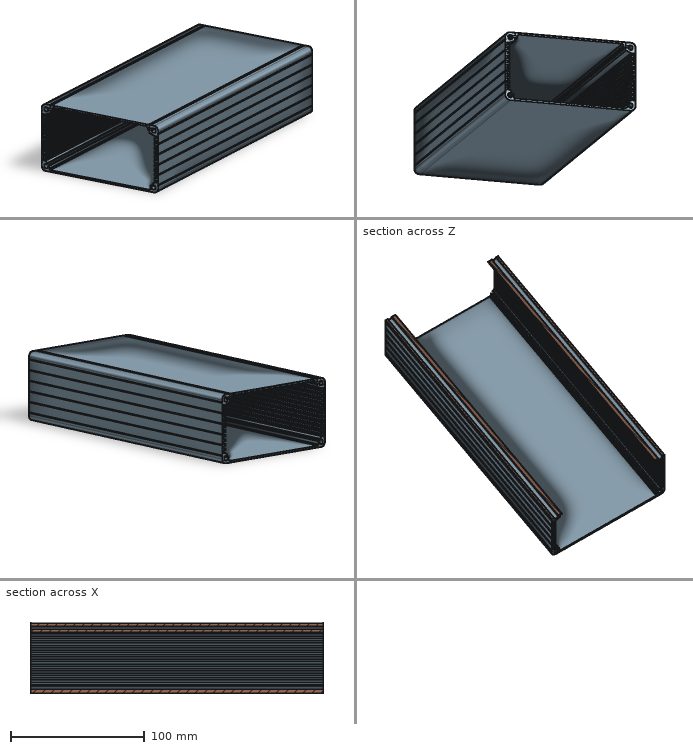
import cadquery as cq


width = 103.0
length = 220.0
height = 53.0
half_width = width / 2
mid_height = height / 2
corner_radius = 4.0

floor_thickness = 1.5
lid_thickness = 1.5
side_wall = 1.3

fin_reach = 3.5
fin_slot_width = 2.0
fin_slot_count = 11
fin_zone_height = 36.7
fin_pitch = (fin_zone_height - fin_slot_width) / (fin_slot_count - 1)
fin_zone_bottom = mid_height - fin_zone_height / 2
fin_zone_top = mid_height + fin_zone_height / 2

screw_radius = 1.8
screw_inset = corner_radius
upper_screw_z = height - screw_inset

joint_inset = 7.7
boss_bottom_depth = 6.4
tongue_top_depth = 2.6
tongue_bottom_depth = tongue_top_depth + lid_thickness
joint_lip = 1.5
lid_slope = 1.3
joint_chamfer = 0.7

lower_boss_inset = 6.8
lower_boss_chamfer = lower_boss_inset - fin_reach
lower_boss_root = 0.9
screw_opening = 2.0

groove_pitch = 8.1
groove_count = 6
groove_rise = 0.2
groove_row_middle = mid_height + groove_rise
groove_width = 0.7
groove_depth = groove_width / 2


def prism(points):
    """Extrude a closed XZ outline over the whole length."""
    return cq.Workplane("XZ").polyline(points).close().extrude(length / 2, both=True)


def block(x_min, x_max, z_min, z_max):
    """Full-length rectangular bar."""
    return prism([(x_min, z_min), (x_max, z_min), (x_max, z_max), (x_min, z_max)])


def from_left(inset):
    """X position at a distance from the left side face."""
    return inset - half_width


def both_sides(left):
    """A left-hand shape together with its mirror image."""
    return left.union(left.mirror("YZ"))


def screw_channel(z):
    """Round bar that cuts the left screw channel at a given height."""
    return (
        cq.Workplane("XZ")
        .center(from_left(screw_inset), z)
        .circle(screw_radius)
        .extrude(length / 2, both=True)
    )


def finned_wall():
    """Left side wall with a row of fins between flat slots."""
    wall = block(from_left(0), from_left(fin_reach), 0, height)
    for i in range(fin_slot_count):
        slot_bottom = fin_zone_bottom + i * fin_pitch
        slot_top = slot_bottom + fin_slot_width
        wall = wall.cut(block(from_left(side_wall), from_left(fin_reach), slot_bottom, slot_top))
    return wall


def lower_boss():
    """Chamfered bottom left corner that carries the open screw channel."""
    foot = lower_boss_inset + lower_boss_root
    return prism([
        (from_left(0), 0),
        (from_left(foot), 0),
        (from_left(foot), floor_thickness),
        (from_left(lower_boss_inset), floor_thickness + lower_boss_root),
        (from_left(lower_boss_inset), fin_zone_bottom - lower_boss_chamfer),
        (from_left(fin_reach), fin_zone_bottom),
        (from_left(0), fin_zone_bottom),
    ])


def lower_channel():
    """Screw channel with a slit that opens it diagonally into the enclosure."""
    reach = lower_boss_inset
    slit = (
        cq.Workplane("XY")
        .box(reach, length, screw_opening, centered=(False, True, True))
        .rotate((0, 0, 0), (0, 1, 0), -45)
        .translate((from_left(screw_inset), 0, screw_inset))
    )
    return screw_channel(screw_inset).union(slit)


def upper_boss():
    """Top left corner that carries the closed screw channel and the lid joint."""
    return prism([
        (from_left(0), height),
        (from_left(joint_inset - joint_chamfer), height),
        (from_left(joint_inset), height - joint_chamfer),
        (from_left(joint_inset), height - boss_bottom_depth),
        (from_left(fin_reach), fin_zone_top),
        (from_left(0), fin_zone_top),
    ])


def lid_tongue():
    """Left tongue of the lid, which runs under the tray's corner as far as the screw channel."""
    return block(
        from_left(screw_inset),
        from_left(joint_inset + joint_lip),
        height - tongue_bottom_depth,
        height - tongue_top_depth,
    )


def side_grooves():
    """V cuts along the left outer face, evenly spaced and set slightly above mid-height."""
    first_z = groove_row_middle - (groove_count - 1) * groove_pitch / 2
    cuts = cq.Workplane("XZ")
    for i in range(groove_count):
        z = first_z + i * groove_pitch
        cuts = cuts.add(prism([
            (from_left(0), z - groove_width / 2),
            (from_left(groove_depth), z),
            (from_left(0), z + groove_width / 2),
        ]))
    return cuts.combine()


def rounded_envelope():
    """Outer block of the enclosure with its four long edges rounded."""
    return block(-half_width, half_width, 0, height).edges("|Y").fillet(corner_radius)


def make_tray():
    """Floor, finned side walls and corner bosses."""
    left = finned_wall().union(lower_boss()).union(upper_boss())
    left = left.cut(lower_channel()).cut(screw_channel(upper_screw_z))
    left = left.cut(lid_tongue()).cut(side_grooves())
    floor_edge = half_width - lower_boss_inset
    floor = block(-floor_edge, floor_edge, 0, floor_thickness)
    return both_sides(left).union(floor).intersect(rounded_envelope())


def make_lid():
    """Flat plate whose thickened edges carry the tongues."""
    top_edge = half_width - joint_inset - joint_chamfer
    joint_edge = half_width - joint_inset
    lip_edge = joint_edge - joint_lip
    plate = block(-top_edge, top_edge, height - lid_thickness, height)
    left_edge = prism([
        (-top_edge, height),
        (-joint_edge, height - joint_chamfer),
        (-joint_edge, height - tongue_top_depth),
        (-lip_edge, height - tongue_top_depth),
        (lid_slope - lip_edge, height - lid_thickness),
        (lid_slope - lip_edge, height),
    ])
    left_edge = left_edge.union(lid_tongue()).cut(screw_channel(upper_screw_z))
    return plate.union(both_sides(left_edge))


tray = make_tray()
lid = make_lid()

result = cq.Compound.makeCompound([tray.solids().val(), lid.solids().val()])